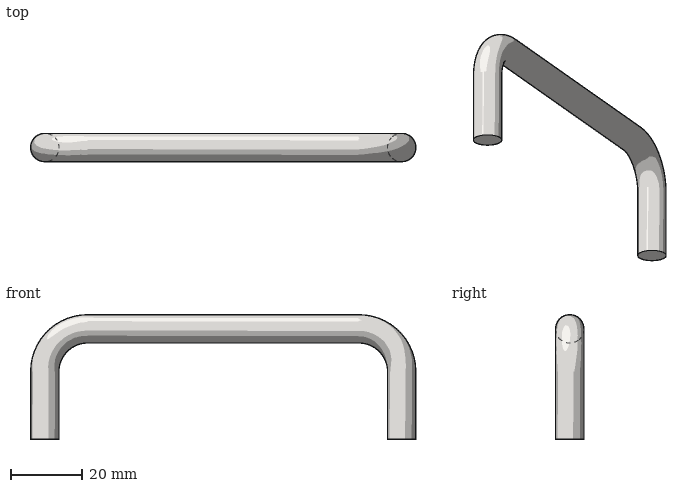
import cadquery as cq
import math

overall_length = 108.0
overall_height = 35.0
rod_diameter = 8.0
bend_radius = 12.0

leg_x = (overall_length - rod_diameter) / 2
grip_z = overall_height - rod_diameter / 2
bend_start_z = grip_z - bend_radius
bend_end_x = leg_x - bend_radius

bend_mid_offset = bend_radius * math.sin(math.radians(45))
bend_mid_x = bend_end_x + bend_mid_offset
bend_mid_z = bend_start_z + bend_mid_offset

centreline = (
    cq.Workplane("XZ")
    .moveTo(-leg_x, 0)
    .lineTo(-leg_x, bend_start_z)
    .threePointArc((-bend_mid_x, bend_mid_z), (-bend_end_x, grip_z))
    .lineTo(bend_end_x, grip_z)
    .threePointArc((bend_mid_x, bend_mid_z), (leg_x, bend_start_z))
    .lineTo(leg_x, 0)
)

result = (
    cq.Workplane("XY")
    .center(-leg_x, 0)
    .circle(rod_diameter / 2)
    .sweep(centreline)
)